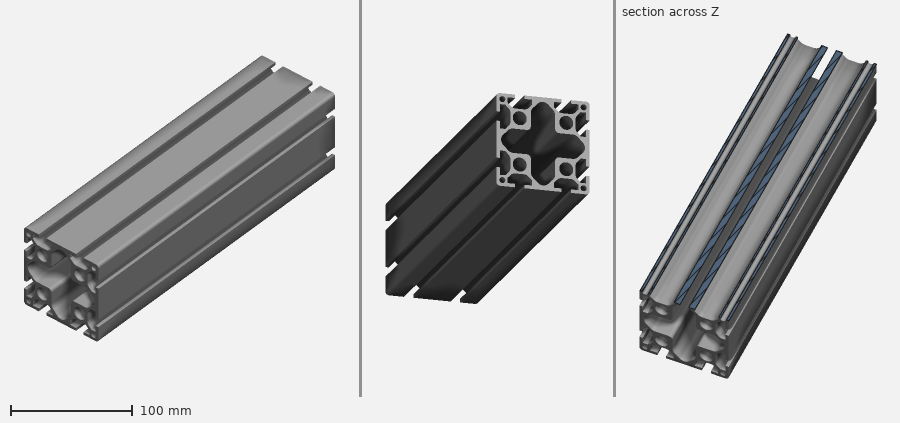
import cadquery as cq
import math

length = 300.0
width = 80.0
half_width = width / 2
corner_radius = 3.0

slot_offset = width / 4
slot_opening = 8.0
lip_thickness = 3.0
slot_width = 21.0
slot_depth = 12.0
slot_wall_depth = 7.5
slot_floor_radius = 5.7

core_hole_diameter = 12.0
corner_hole_diameter = 5.0
corner_hole_inset = 5.0

arm_half_width = 10.5
arm_tip_radius = 6.3
arm_shoulder_radius = 6.3
cavity_corner_radius = 3.3
web_thickness = 2.5

SIGNS = (-1, 1)
SIDE_ANGLES = (0, 90, 180, 270)


def section_plane():
    """XZ plane at the +Y end, so that extrusions run toward -Y."""
    return cq.Workplane("XZ", origin=(0, length / 2, 0))


def prism(outline):
    return section_plane().polyline(outline).close().extrude(length)


def round_edge(body, x, z, radius):
    """Fillet the lengthwise edge that passes through (x, z)."""
    edge = cq.selectors.NearestToPointSelector((x, 0, z))
    return body.edges("|Y").edges(edge).fillet(radius)


def on_side(cutter, angle):
    """Turn a cutter made for the +Z side to another side."""
    return cutter.rotate((0, 0, 0), (0, 1, 0), angle)


def round_channels(offset, diameter):
    """Four through channels, one in each quadrant."""
    centers = [(sx * offset, sz * offset) for sx in SIGNS for sz in SIGNS]
    return section_plane().pushPoints(centers).circle(diameter / 2).extrude(length)


def slot_cutter(center):
    """T-slot open to +Z, with 45 degree flanks blended into its floor."""
    half_slot = slot_width / 2
    half_floor = half_slot - (slot_depth - slot_wall_depth)
    roof = half_width - lip_thickness
    wall_end = half_width - slot_wall_depth
    floor = half_width - slot_depth
    chamber = prism([
        (center - half_slot, roof),
        (center - half_slot, wall_end),
        (center - half_floor, floor),
        (center + half_floor, floor),
        (center + half_slot, wall_end),
        (center + half_slot, roof),
    ])
    for sign in SIGNS:
        chamber = round_edge(chamber, center + sign * half_floor, floor, slot_floor_radius)
    mouth = (
        section_plane()
        .center(center, half_width - lip_thickness / 2)
        .rect(slot_opening, lip_thickness)
        .extrude(length)
    )
    return chamber.union(mouth)


def cavity_arm():
    """Arm toward +Z whose 45 degree point runs parallel to the slot flanks."""
    flank_x = slot_offset - slot_width / 2
    flank_z = half_width - slot_wall_depth
    apex = flank_x + flank_z - web_thickness * math.sqrt(2)
    shoulder = apex - arm_half_width
    arm = prism([
        (-arm_half_width, 0),
        (-arm_half_width, shoulder),
        (0, apex),
        (arm_half_width, shoulder),
        (arm_half_width, 0),
    ])
    arm = round_edge(arm, 0, apex, arm_tip_radius)
    for sign in SIGNS:
        arm = round_edge(arm, sign * arm_half_width, shoulder, arm_shoulder_radius)
    return arm


def cross_cavity():
    """Four arms joined at the center, with rounded corners between them."""
    cavity = cavity_arm()
    for angle in SIDE_ANGLES[1:]:
        cavity = cavity.union(on_side(cavity_arm(), angle))
    for sx in SIGNS:
        for sz in SIGNS:
            cavity = round_edge(cavity, sx * arm_half_width, sz * arm_half_width, cavity_corner_radius)
    return cavity


result = (
    section_plane()
    .rect(width, width)
    .extrude(length)
    .edges("|Y")
    .fillet(corner_radius)
)

for side_angle in SIDE_ANGLES:
    for slot_sign in SIGNS:
        result = result.cut(on_side(slot_cutter(slot_sign * slot_offset), side_angle))

result = result.cut(cross_cavity())
result = result.cut(round_channels(slot_offset, core_hole_diameter))
result = result.cut(round_channels(half_width - corner_hole_inset, corner_hole_diameter))